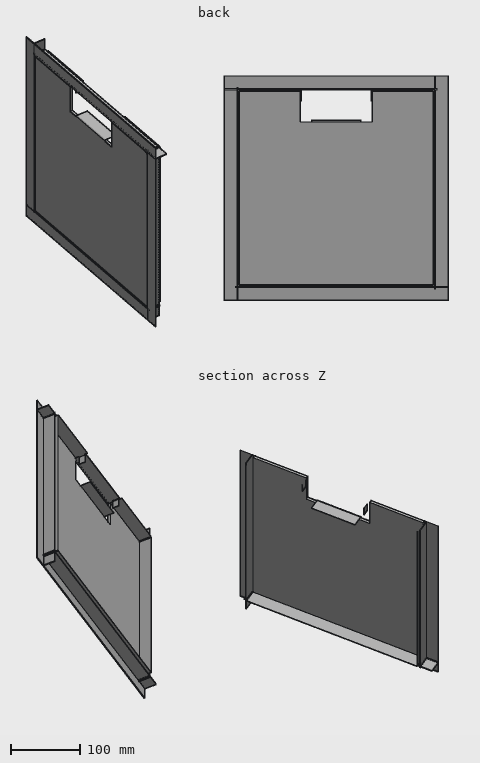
import cadquery as cq
import math


FRAME_SIDE = 323.8
ANGLE_LEG = 20.0
ANGLE_WALL = 1.5
TONGUE_LENGTH = 3.5
FRAME_HALF = FRAME_SIDE / 2
OPENING_HALF = FRAME_HALF - ANGLE_LEG

PANEL_GAP = 1.0
PANEL_DEPTH = 24.0
SHEET = 1.0
BEND_RADIUS = 1.5
CORNER_RELIEF = 1.3
PANEL_HALF = OPENING_HALF - PANEL_GAP
FACE_HALF = PANEL_HALF - BEND_RADIUS

WINDOW_HALF_WIDTH = 51.8
WINDOW_BOTTOM = 95.5

LIP_HALF_WIDTH = 35.5
LIP_TOP = 98.5
LIP_RADIUS = 2.3
LIP_DEPTH = 19.5

EAR_INNER_X = 50.0
EAR_BOTTOM = 126.0
EAR_FRONT = 9.5
EAR_BACK = 19.5

BACKING_THICKNESS = 4.0


def box(x_range, y_range, z_range):
    """Axis-aligned box between the given limits."""
    x0, x1 = x_range
    y0, y1 = y_range
    z0, z1 = z_range
    return cq.Workplane("XY").box(x1 - x0, y1 - y0, z1 - z0, centered=False).translate((x0, y0, z0))


def quarter_turns(shape, turns):
    """The shape turned about the Y axis by a number of quarter turns."""
    return shape.rotate((0, 0, 0), (0, 1, 0), 90 * turns)


def make_bottom_angle():
    """Bottom frame angle, with its left end running to the outer corner of the frame.

    The front leg butts on the next angle at the right end. There the back leg goes on as a tongue
    through the slot that each angle has near its left end.
    """
    length = (-FRAME_HALF, OPENING_HALF)
    leg_limits = (-OPENING_HALF - ANGLE_WALL, -OPENING_HALF)
    leg_depth = (ANGLE_WALL, ANGLE_LEG)
    front_leg = box(length, (0, ANGLE_WALL), (-FRAME_HALF, -OPENING_HALF))
    back_leg = box(length, (0, ANGLE_LEG), leg_limits)
    tongue = box((OPENING_HALF, OPENING_HALF + TONGUE_LENGTH), leg_depth, leg_limits)
    tongue_slot = box(leg_limits, leg_depth, leg_limits)
    return front_leg.union(back_leg).union(tongue).cut(tongue_slot)


def make_fold(half_width, top, depth, outer_radius):
    """Sheet strip standing at the front face, bent to the back so that its upper side lies at Z = top."""
    inner_radius = outer_radius - SHEET
    bend_start = top - outer_radius
    foot = bend_start - outer_radius
    diagonal = math.sqrt(0.5)
    outer_middle = (outer_radius * (1 - diagonal), bend_start + outer_radius * diagonal)
    inner_middle = (outer_radius - inner_radius * diagonal, bend_start + inner_radius * diagonal)
    return (
        cq.Workplane("YZ")
        .moveTo(0, foot)
        .lineTo(0, bend_start)
        .threePointArc(outer_middle, (outer_radius, top))
        .lineTo(depth, top)
        .lineTo(depth, top - SHEET)
        .lineTo(outer_radius, top - SHEET)
        .threePointArc(inner_middle, (SHEET, bend_start))
        .lineTo(SHEET, foot)
        .close()
        .extrude(half_width, both=True)
    )


def make_ear():
    """Right-hand ear, hanging from the end of the top flange at the side of the opening."""
    ear_depth = (EAR_FRONT, EAR_BACK)
    arm = box((EAR_INNER_X, WINDOW_HALF_WIDTH), ear_depth, (PANEL_HALF - SHEET, PANEL_HALF))
    plate = box((EAR_INNER_X, EAR_INNER_X + SHEET), ear_depth, (EAR_BOTTOM, PANEL_HALF))
    return arm.union(plate)


def make_panel():
    """Panel face with four flanges folded back, the hand opening, the grip lip and two ears."""
    face_limits = (-FACE_HALF, FACE_HALF)
    panel = box(face_limits, (0, SHEET), face_limits)
    flange = make_fold(PANEL_HALF - CORNER_RELIEF, PANEL_HALF, PANEL_DEPTH, BEND_RADIUS)
    for turn in range(4):
        panel = panel.union(quarter_turns(flange, turn))
    window = box(
        (-WINDOW_HALF_WIDTH, WINDOW_HALF_WIDTH), (0, PANEL_DEPTH), (WINDOW_BOTTOM, PANEL_HALF)
    )
    ear = make_ear()
    return (
        panel.cut(window)
        .union(make_fold(LIP_HALF_WIDTH, LIP_TOP, LIP_DEPTH, LIP_RADIUS))
        .union(ear)
        .union(ear.mirror("YZ"))
    )


def make_backing():
    """Flat plate against the back of the panel face, with the same hand opening."""
    plate_depth = (SHEET, SHEET + BACKING_THICKNESS)
    plate = box((-FACE_HALF, FACE_HALF), plate_depth, (-FACE_HALF, FACE_HALF))
    window = box((-WINDOW_HALF_WIDTH, WINDOW_HALF_WIDTH), plate_depth, (WINDOW_BOTTOM, FACE_HALF))
    return plate.cut(window)


bottom_angle = make_bottom_angle()
angles = [quarter_turns(bottom_angle, turn) for turn in range(4)]
panel = make_panel()
backing = make_backing()

result = cq.Compound.makeCompound([*[angle.val() for angle in angles], panel.val(), backing.val()])